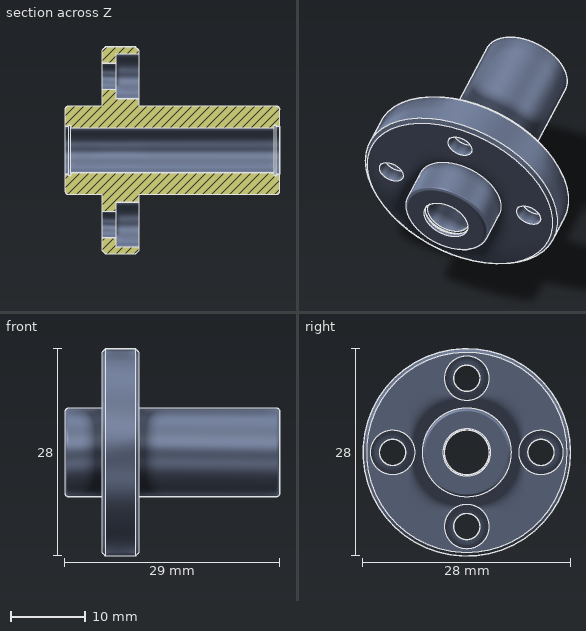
import cadquery as cq

total_length = 29.0
barrel_diameter = 12.0
barrel_end_fillet = 0.5

flange_diameter = 28.0
flange_start = 5.0
flange_thickness = 5.02
flange_chamfer = 0.5

bore_diameter = 6.0
mouth_diameter = 6.4
mouth_depth = 0.5
groove_diameter = 6.8
groove_width = 0.3

bolt_hole_diameter = 3.5
counterbore_diameter = 6.0
counterbore_depth = 3.1
bolt_circle_diameter = 20.0
bolt_hole_count = 4


def cylinder_along_x(start, length, diameter):
    """Solid cylinder on the X axis, beginning at x = start."""
    return cq.Workplane("YZ").workplane(offset=start).circle(diameter / 2).extrude(length)


def make_barrel():
    barrel = cylinder_along_x(0, total_length, barrel_diameter)
    return barrel.edges().fillet(barrel_end_fillet)


def bolt_pattern(start, length, diameter):
    """Ring of equal cylinders on the bolt circle, beginning at x = start."""
    return (
        cq.Workplane("YZ")
        .workplane(offset=start)
        .polarArray(bolt_circle_diameter / 2, 0, 360, bolt_hole_count)
        .circle(diameter / 2)
        .extrude(length)
    )


def make_flange():
    """Chamfered disc with bolt holes counterbored from the +X face."""
    flange = cylinder_along_x(flange_start, flange_thickness, flange_diameter)
    flange = flange.edges().chamfer(flange_chamfer)
    bolt_holes = bolt_pattern(flange_start, flange_thickness, bolt_hole_diameter)
    counterbore_start = flange_start + flange_thickness - counterbore_depth
    counterbores = bolt_pattern(counterbore_start, counterbore_depth, counterbore_diameter)
    return flange.cut(bolt_holes).cut(counterbores)


def make_bore():
    """Through bore with a wider mouth at each end and a groove just inside each mouth."""
    bore = cylinder_along_x(0, total_length, bore_diameter)
    for mouth_start in (0, total_length - mouth_depth):
        bore = bore.union(cylinder_along_x(mouth_start, mouth_depth, mouth_diameter))
    for groove_start in (mouth_depth, total_length - mouth_depth - groove_width):
        bore = bore.union(cylinder_along_x(groove_start, groove_width, groove_diameter))
    return bore


result = make_barrel().union(make_flange()).cut(make_bore())